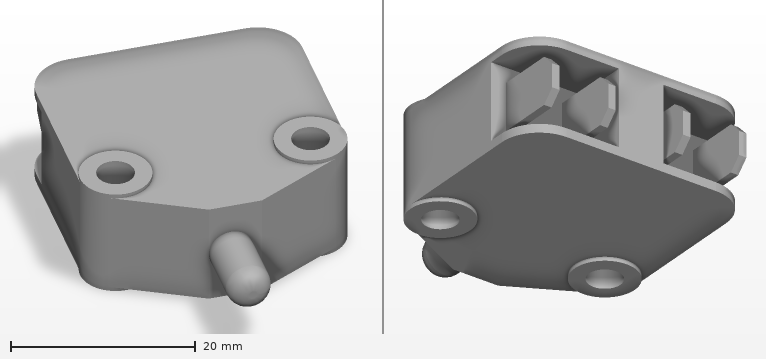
import cadquery as cq
import math

HOUSING_LENGTH = 30.5
HOUSING_WIDTH = 30.0
HOUSING_HEIGHT = 12.0
REAR_CORNER_RADIUS = 5.0
NOSE_WIDTH = 6.0

BOSS_X = 21.85
BOSS_RADIUS = 4.0
BOSS_RISE = 0.5
BOSS_Y = HOUSING_WIDTH / 2 - BOSS_RADIUS
MOUNTING_HOLE_DIAMETER = 4.2

POCKET_DEPTH = 7.0
POCKET_HEIGHT = 9.8
CENTRE_WALL_WIDTH = 6.0
POCKET_WIDTH = (HOUSING_WIDTH - CENTRE_WALL_WIDTH) / 2

BLADE_HEIGHT = 6.0
BLADE_THICKNESS = 1.0
BLADE_OVERHANG = 1.5
BLADE_CHAMFER = 1.5
BLADE_OFFSETS = (5.0, 12.5)

PLUNGER_Y = -0.5
PLUNGER_DIAMETER = 5.0
PLUNGER_LENGTH = 8.49
PLUNGER_TIP_RADIUS = 2.0

SIDES = (-1, 1)


def front_tangent_point():
    """Point where the line from the nose corner touches the boss circle (+Y side)."""
    dx = HOUSING_LENGTH - BOSS_X
    dy = NOSE_WIDTH / 2 - BOSS_Y
    angle = math.atan2(dy, dx) + math.acos(BOSS_RADIUS / math.hypot(dx, dy))
    return BOSS_X + BOSS_RADIUS * math.cos(angle), BOSS_Y + BOSS_RADIUS * math.sin(angle)


def make_housing():
    """Plate tapering to a narrow nose; the bosses later round off its straight-cut front corners."""
    half_width = HOUSING_WIDTH / 2
    half_nose = NOSE_WIDTH / 2
    tangent_x, tangent_y = front_tangent_point()
    outline = [
        (0, -half_width),
        (BOSS_X, -half_width),
        (tangent_x, -tangent_y),
        (HOUSING_LENGTH, -half_nose),
        (HOUSING_LENGTH, half_nose),
        (tangent_x, tangent_y),
        (BOSS_X, half_width),
        (0, half_width),
    ]
    return (
        cq.Workplane("XY")
        .workplane(offset=-HOUSING_HEIGHT / 2)
        .polyline(outline)
        .close()
        .extrude(HOUSING_HEIGHT)
        .edges("|Z and <X")
        .fillet(REAR_CORNER_RADIUS)
    )


def make_pocket(side):
    """Cutting block for the terminal pocket on one side."""
    centre_y = side * (CENTRE_WALL_WIDTH + POCKET_WIDTH) / 2
    return (
        cq.Workplane("XY")
        .box(POCKET_DEPTH, POCKET_WIDTH, POCKET_HEIGHT)
        .translate((POCKET_DEPTH / 2, centre_y, 0))
    )


def make_blade(centre_y):
    """Terminal blade standing on the pocket floor, with both tip corners chamfered."""
    length = POCKET_DEPTH + BLADE_OVERHANG
    return (
        cq.Workplane("XY")
        .box(length, BLADE_THICKNESS, BLADE_HEIGHT)
        .edges("|Y and <X")
        .chamfer(BLADE_CHAMFER)
        .translate((POCKET_DEPTH - length / 2, centre_y, 0))
    )


def make_boss(side):
    """Round boss that stands proud of both faces of the housing."""
    height = HOUSING_HEIGHT + 2 * BOSS_RISE
    return cq.Workplane("XY").cylinder(height, BOSS_RADIUS).translate((BOSS_X, side * BOSS_Y, 0))


def make_plunger():
    """Round plunger with a domed tip, projecting from the nose."""
    return (
        cq.Workplane("YZ")
        .workplane(offset=HOUSING_LENGTH)
        .center(PLUNGER_Y, 0)
        .circle(PLUNGER_DIAMETER / 2)
        .extrude(PLUNGER_LENGTH)
        .faces(">X")
        .edges()
        .fillet(PLUNGER_TIP_RADIUS)
    )


result = make_housing()
for side in SIDES:
    result = result.cut(make_pocket(side))
for side in SIDES:
    result = result.union(make_boss(side))
    for offset in BLADE_OFFSETS:
        result = result.union(make_blade(side * offset))
result = result.union(make_plunger())

result = (
    result.faces(">Z")
    .workplane(origin=(0, 0, 0))
    .pushPoints([(BOSS_X, side * BOSS_Y) for side in SIDES])
    .hole(MOUNTING_HOLE_DIAMETER)
)